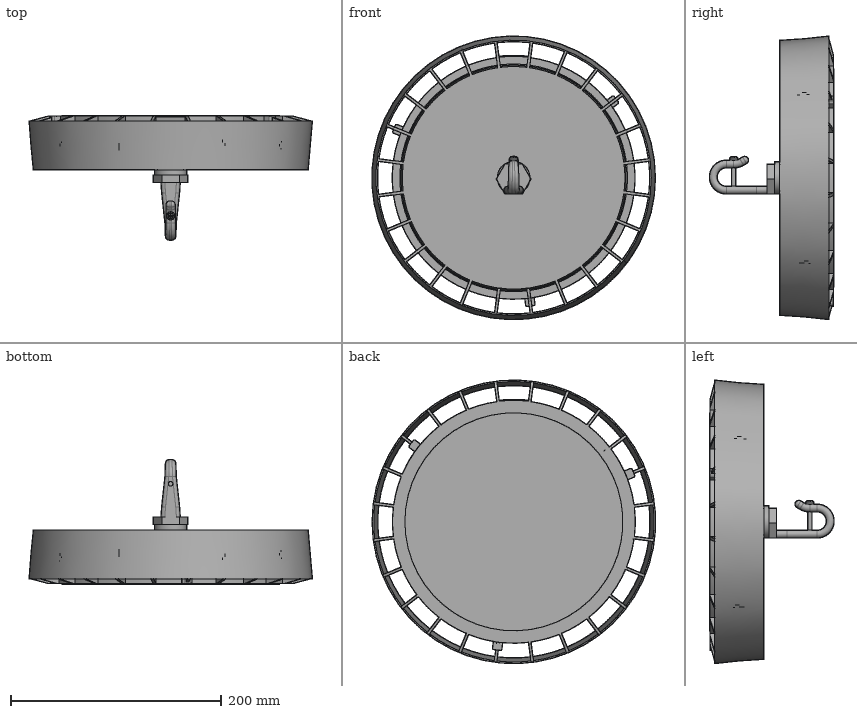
import cadquery as cq
import math


top_angle = 90
bottom_angle = 270

rim_rear_radius = 135.0
rim_front_radius = 131.0
rim_depth = 46.7
rim_wall = 1.5
hub_front_radius = 105.8
hub_rear_radius = 107.0
hub_root_chamfer = 1.0
flange_radius = 115.5
flange_thickness = 8.0
rear_y = 51.3
rib_count = 24
rib_pitch = 360.0 / rib_count
rib_thickness = 2.7
rib_bury = 2.7
rib_slope_radius = 116.8
pad_front_radius = 115.0
pad_rear_radius = 116.5
pad_rear_gap = 0.8
notch_outer_radius = 118.7
notch_slope_width = 6.5
notch_depth = 8.0

cover_radius = 103.5
cover_thickness = 2.7
cover_rise = 0.5

clip_count = 3
clip_pitch = 360.0 / clip_count
first_clip_angle = -5.5 * rib_pitch
clip_outer_radius = 123.0
clip_width = 9.2
clip_thickness = 6.0
clip_rear_gap = 0.3
clip_rear_y = rear_y - clip_rear_gap
clip_front_y = clip_rear_y - clip_thickness
clip_corner = 1.5

collar_diameter = 31.0
collar_radius = collar_diameter / 2
collar_front_y = -4.9
hex_front_y = -12.1
hex_flats = 28.5
hex_corners = hex_flats / math.cos(math.radians(30))
hex_z = -collar_radius + hex_flats / 2
wire_thickness = 7.5
wire_radius = wire_thickness / 2
strap_root_width = 18.5
strap_seam_width = 17.3
strap_seam_y = -21.9
bend_start_width = 11.0
tip_width = 9.0
bend_radius = 12.5
hook_tip_y = -67.0
bend_y = hook_tip_y + bend_radius + wire_radius
strap_z = -collar_radius + wire_radius
bend_z = strap_z + bend_radius
top_z = bend_z + bend_radius
flare_radius = 15.0
flare_angle = math.radians(30)
flare_end_length = 3.2

screw_y = -43.7
shank_radius = 2.2
head_diameter = 7.8
head_radius = head_diameter / 2
head_rim_height = 1.75
head_crown_radius = 2.56
head_crown_height = 1.75
recess_length = 3.5
recess_width = 1.0
recess_depth = 1.3


def turned(profile):
    """Revolve a closed (radius, y) outline about the lamp axis."""
    return cq.Workplane("XY").polyline(profile).close().revolve(360, (0, 0, 0), (0, 1, 0))


def placed_at(body, angle):
    """Turn a body that lies along +X to an angle counted from +X towards +Z."""
    return body.rotate((0, 0, 0), (0, 1, 0), -angle)


def make_hub():
    flange_front_y = rear_y - flange_thickness
    return turned([
        (0, 0),
        (hub_front_radius, 0),
        (hub_rear_radius, flange_front_y - hub_root_chamfer),
        (hub_rear_radius + hub_root_chamfer, flange_front_y),
        (flange_radius, flange_front_y),
        (flange_radius, rear_y),
        (0, rear_y),
    ])


def make_rim():
    return turned([
        (rim_front_radius - rim_wall, 0),
        (rim_front_radius, 0),
        (rim_rear_radius, rim_depth),
        (rim_rear_radius - rim_wall, rim_depth),
    ])


def make_rib(notched, clipped):
    """Flat rib along +X; its inner end is buried in the hub and its outer end in the rim wall."""
    buried_radius = hub_front_radius - rib_bury
    half_wall = rim_wall / 2
    if notched:
        slope_radius = notch_outer_radius - notch_slope_width
        rib = cq.Workplane("XY").moveTo(buried_radius, notch_depth).lineTo(slope_radius, notch_depth)
        rib = rib.spline([(notch_outer_radius, 0)], tangents=[(1, 0), (1, 0)], includeCurrent=True)
    else:
        rib = cq.Workplane("XY").moveTo(buried_radius, 0)
    rib = (
        rib.lineTo(rim_front_radius - half_wall, 0)
        .lineTo(rim_rear_radius - half_wall, rim_depth)
        .lineTo(rib_slope_radius, rear_y)
        .lineTo(buried_radius, rear_y)
        .close()
        .extrude(rib_thickness / 2, both=True)
    )
    if clipped:
        clip_step = (
            cq.Workplane("XY")
            .box(clip_outer_radius, rear_y, clip_width, centered=(False, False, True))
            .translate((0, clip_front_y, 0))
        )
        rib = rib.cut(clip_step)
    return rib


def make_pad():
    """Slightly raised sector of the flange in the bay at the top."""
    front_y = rear_y - flange_thickness
    half_bay = rib_pitch / 2
    profile = [
        (hub_front_radius, front_y),
        (pad_front_radius, front_y),
        (pad_rear_radius, rear_y - pad_rear_gap),
        (hub_front_radius, rear_y - pad_rear_gap),
    ]
    sector = cq.Workplane("XY").polyline(profile).close().revolve(rib_pitch, (0, 0, 0), (0, 1, 0))
    return placed_at(sector, top_angle + half_bay)


def make_cover():
    return turned([
        (0, rear_y + cover_rise - cover_thickness),
        (cover_radius, rear_y + cover_rise - cover_thickness),
        (cover_radius, rear_y + cover_rise),
        (0, rear_y + cover_rise),
    ])


def make_clip(angle):
    """Small block with rounded outer corners, seated against the flange edge."""
    block = (
        cq.Workplane("XY")
        .box(clip_outer_radius, clip_thickness, clip_width, centered=(False, False, True))
        .translate((0, clip_front_y, 0))
        .edges(">X and |Y")
        .fillet(clip_corner)
    )
    flange_core = cq.Workplane("XZ").circle(flange_radius).extrude(-rear_y)
    return placed_at(block.cut(flange_core), angle)


def make_housing(cover):
    housing = make_hub().union(make_rim())
    for index in range(rib_count):
        angle = (index + 0.5) * rib_pitch
        notched = abs(angle - bottom_angle) < rib_pitch
        clipped = (angle - first_clip_angle) % clip_pitch == 0
        housing = housing.union(placed_at(make_rib(notched, clipped), angle))
    return housing.union(make_pad()).cut(cover)


def section(workplane, width):
    """Wire section: round ends, flat top and bottom, measured along X."""
    return workplane.slot2D(width, wire_thickness)


def make_strap_piece(start_y, start_width, end_y, end_width):
    start = section(cq.Workplane("XZ", origin=(0, start_y, strap_z)), start_width)
    return section(start.workplane(offset=start_y - end_y), end_width).loft(combine=True)


def make_bend():
    """Half-turn of the hook, narrowing from the strap to the tip."""
    path = (
        cq.Workplane("YZ")
        .moveTo(bend_y, strap_z)
        .threePointArc((bend_y - bend_radius, bend_z), (bend_y, top_z))
    )
    start = section(cq.Workplane(cq.Plane((0, bend_y, strap_z), (1, 0, 0), (0, -1, 0))), bend_start_width)
    end = section(cq.Workplane(cq.Plane((0, bend_y, top_z), (1, 0, 0), (0, 1, 0))), tip_width)
    outlines = [start.ctx.pendingWires[0], end.ctx.pendingWires[0]]
    return cq.Workplane(cq.Solid.sweep_multi(outlines, path.val()))


def make_tip():
    """Straight piece over the screw, upward flare and ball-shaped end."""
    flare_center_z = top_z + flare_radius

    def flare_point(angle):
        return (
            screw_y + flare_radius * math.sin(angle),
            flare_center_z - flare_radius * math.cos(angle),
        )

    flare_end_y, flare_end_z = flare_point(flare_angle)
    end_y = flare_end_y + flare_end_length * math.cos(flare_angle)
    end_z = flare_end_z + flare_end_length * math.sin(flare_angle)
    path = (
        cq.Workplane("YZ")
        .moveTo(bend_y, top_z)
        .lineTo(screw_y, top_z)
        .threePointArc(flare_point(flare_angle / 2), (flare_end_y, flare_end_z))
        .lineTo(end_y, end_z)
    )
    tip = section(cq.Workplane("XZ", origin=(0, bend_y, top_z)), tip_width).sweep(path)
    half_flat = (tip_width - wire_thickness) / 2
    tip = tip.union(
        cq.Workplane("YZ").center(end_y, end_z).circle(wire_radius).extrude(half_flat, both=True)
    )
    for side in (-1, 1):
        ball = cq.Workplane("XY").sphere(wire_radius).translate((side * half_flat, end_y, end_z))
        tip = tip.union(ball)
    return tip


def make_screw():
    """Screw through the hook: shank, rimmed head with a tapered crown and a cross recess."""
    head_z = top_z + wire_radius
    shank_end_z = strap_z - wire_radius
    rim_top_z = head_z + head_rim_height
    crown_z = rim_top_z + head_crown_height
    screw = (
        cq.Workplane("XZ")
        .polyline([
            (0, shank_end_z),
            (shank_radius, shank_end_z),
            (shank_radius, head_z),
            (head_radius, head_z),
            (head_radius, rim_top_z),
            (head_crown_radius, crown_z),
            (0, crown_z),
        ])
        .close()
        .revolve(360, (0, 0, 0), (0, 1, 0))
    )
    for turn in (0, 90):
        slot = (
            cq.Workplane("XY", origin=(0, 0, crown_z - recess_depth))
            .transformed(rotate=(0, 0, turn))
            .rect(recess_length, recess_width)
            .extrude(recess_depth)
        )
        screw = screw.cut(slot)
    return screw.translate((0, screw_y, 0))


def make_hook(screw):
    collar = cq.Workplane("XZ").circle(collar_radius).extrude(-collar_front_y)
    hexagon = (
        cq.Workplane("XZ", origin=(0, collar_front_y, hex_z))
        .polygon(6, hex_corners)
        .extrude(collar_front_y - hex_front_y)
    )
    hook = collar.union(hexagon)
    hook = hook.union(make_strap_piece(hex_front_y, strap_root_width, strap_seam_y, strap_seam_width))
    hook = hook.union(make_strap_piece(strap_seam_y, strap_seam_width, bend_y, bend_start_width))
    return hook.union(make_bend()).union(make_tip()).cut(screw)


cover_plate = make_cover()
clips = [make_clip(first_clip_angle + index * clip_pitch) for index in range(clip_count)]
housing = make_housing(cover_plate)
locking_screw = make_screw()
hook = make_hook(locking_screw)

result = cq.Compound.makeCompound([
    housing.val(),
    cover_plate.val(),
    *[clip.val() for clip in clips],
    hook.val(),
    locking_screw.val(),
])